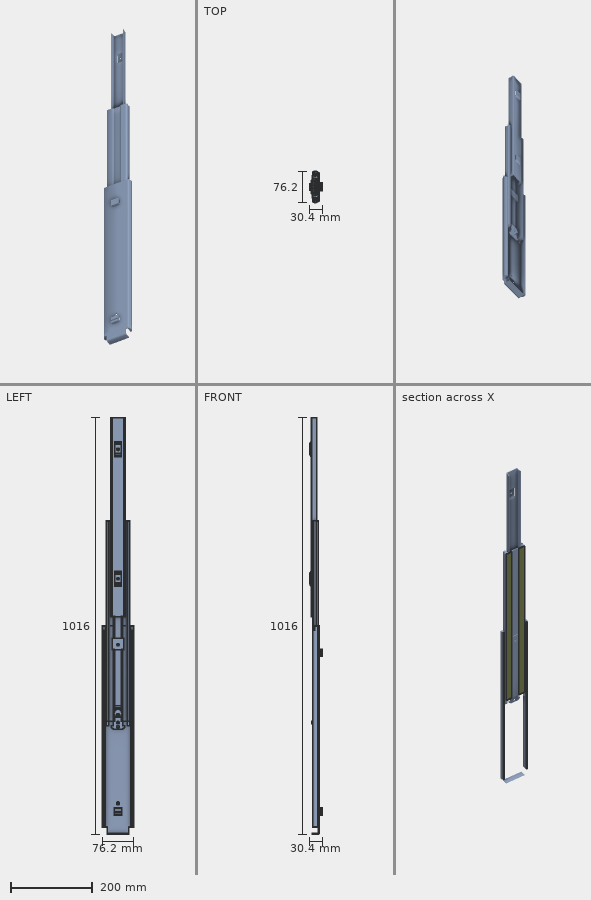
import cadquery as cq
import math


TOTAL_LENGTH = 1016.0
TOTAL_WIDTH = 76.19
TOTAL_DEPTH = 30.39
HOOK_REACH = TOTAL_DEPTH / 2

OUTER_TOP = TOTAL_LENGTH / 2
OUTER_BOTTOM = 17.0
OUTER_WEB_FRONT = 6.0
OUTER_WEB_BACK = 8.4
OUTER_WALL = OUTER_WEB_BACK - OUTER_WEB_FRONT
OUTER_HALF = TOTAL_WIDTH / 2
RACE_X = -1.8
RACE_RADIUS = 8.5
RACE_END_X = 4.6
LIP_X = -8.3
LIP_RELIEF_X = -3.0
LIP_RELIEF_HEIGHT = 10.0
CORNER_Y = 31.5
CORNER_MIDDLE = (7.3, 34.1)
RACE_INNER_Y = 31.5
END_TAB_HALF = 26.7
FOOT_TIP_X = -8.8
FOOT_BEND = 2.5
PILOT_Z = 75.0
PILOT_DIAMETER = 6.0

HOOK_HALF = 9.7
HOOK_HEIGHT = 18.0
HOOK_BASE_X = 12.0
HOOK_POCKET_X = 10.5
HOOK_POCKET_MARGIN = 1.0
HOOK_POCKET_CORNER = 4.0
HOOK_GAP = 3.2
HOOK_GAP_BOTTOM = 6.0
LOWER_HOOK_Z = 46.0
UPPER_HOOK_Z = 433.5

MIDDLE_BOTTOM = 275.4
MIDDLE_TOP = 764.0
MIDDLE_WEB_FRONT = 4.0
MIDDLE_WEB_BACK = 5.8
MIDDLE_HALF = 29.0
MIDDLE_LIP_X = -8.5
MIDDLE_LIP_INNER = 22.0
MIDDLE_LIP_OUTER = 27.4
MIDDLE_LIP_MIDDLE = (-7.0, 28.45)
MIDDLE_CORNER_MIDDLE = (4.6, 27.4)
MIDDLE_CORNER_Y = 24.0
GROOVE_FRONT_X = -5.2
GROOVE_BACK_X = 0.5
GROOVE_DEPTH = 2.0
RIB_HALF = 8.5
RIB_FOOT = 11.5
RIB_RISE = 3.0
RIB_FRONT = MIDDLE_WEB_FRONT - RIB_RISE
RIB_BACK = MIDDLE_WEB_BACK - RIB_RISE

VALLEY_POINTS = [(-3.0, 21.2), (2.5, 18.6), (MIDDLE_WEB_FRONT, 16.0), (MIDDLE_WEB_FRONT, 14.0)]

PAD_HALF = 14.0
PAD_BOTTOM = 450.0
PAD_HEIGHT = 28.5
PAD_FRONT = -1.0
PAD_HOLE_Z = 462.0
PAD_HOLE_DIAMETER = 5.0

STOP_INNER = 23.0
STOP_LENGTH = 11.0
STOP_FRONT = 2.5

INNER_BOTTOM = 531.0
INNER_WEB_FRONT = -12.2
INNER_WALL = 1.8
INNER_WEB_BACK = INNER_WEB_FRONT + INNER_WALL
INNER_FLAT_HALF = 13.6
INNER_NECK_HALF = 16.1
INNER_HALF = 17.5
INNER_CORNER_X = INNER_WEB_FRONT + INNER_NECK_HALF - INNER_FLAT_HALF
INNER_CORNER_MIDDLE = (-11.47, 15.37)
INNER_NECK_X = -4.6
INNER_EDGE_X = 2.0

STRAP_HALF = 8.0
STRAP_HEIGHT = 36.0
STRAP_TOP_RAMP = 4.5
STRAP_BOTTOM_RAMP = 6.5
STRAP_HOLE_DROP = 18.0
STRAP_HOLE_DIAMETER = 5.0
STRAP_TOPS = (957.0, 641.0)

LATCH_TOP = 313.0
LATCH_RAMP = 5.0
LATCH_FRONT = -1.5
LATCH_DISC_Z = 295.0
LATCH_DISC_RADIUS = 10.0
LATCH_DISC_FRONT = -3.0
LATCH_HOLE_ZS = (291.0, 262.0)
LATCH_HOLE_RADIUS = 3.0
LATCH_NECK_HALF = 11.0
LATCH_FOOT_HALF = 16.0
LATCH_FOOT_TOP = 264.0
LATCH_BOTTOM = 256.0
LATCH_FOOT_CHAMFER = 5.0
LATCH_PIN_Z = 272.0
LATCH_PIN_RADIUS = 3.0
LATCH_PIN_TIP = -10.5


def block(x_range, y_range, z_range):
    """A box given by its limits along X, Y and Z."""
    size = [high - low for low, high in (x_range, y_range, z_range)]
    corner = cq.Vector(x_range[0], y_range[0], z_range[0])
    return cq.Workplane(cq.Solid.makeBox(*size, pnt=corner))


def round_bar(x_start, x_end, z, radius):
    """A cylinder along X on the symmetry plane."""
    solid = cq.Solid.makeCylinder(radius, x_end - x_start, cq.Vector(x_start, 0, z), cq.Vector(1, 0, 0))
    return cq.Workplane(solid)


def whole_rail(half_profile, bottom, top):
    """Extrudes a closed half profile and completes it about the XZ plane."""
    half = half_profile.extrude(top - bottom).translate((0, 0, bottom))
    return half.union(half.mirror("XZ")).clean()


def race_point(x):
    """Point of the outer rail's bulged race at the given X."""
    centre_y = OUTER_HALF - RACE_RADIUS
    return (x, centre_y + math.sqrt(RACE_RADIUS**2 - (x - RACE_X) ** 2))


def outer_profile():
    """Half section: flat web, rounded corner and a solid bulged race with a flat inner face."""
    return (
        cq.Workplane("XY")
        .moveTo(OUTER_WEB_FRONT, 0)
        .lineTo(OUTER_WEB_BACK, 0)
        .lineTo(OUTER_WEB_BACK, CORNER_Y)
        .threePointArc(CORNER_MIDDLE, race_point(RACE_END_X))
        .threePointArc((RACE_X, OUTER_HALF), race_point(LIP_X))
        .lineTo(LIP_X, RACE_INNER_Y)
        .lineTo(OUTER_WEB_FRONT, RACE_INNER_Y)
        .close()
    )


def end_foot():
    """Narrow web extension whose lower end is bent towards -X."""
    bend_outer = FOOT_BEND + OUTER_WALL
    bend_x = OUTER_WEB_BACK - bend_outer
    diagonal = math.sqrt(0.5)
    side = (
        cq.Workplane("XZ")
        .moveTo(OUTER_WEB_BACK, OUTER_BOTTOM)
        .lineTo(OUTER_WEB_BACK, bend_outer)
        .threePointArc((bend_x + bend_outer * diagonal, bend_outer * (1 - diagonal)), (bend_x, 0))
        .lineTo(FOOT_TIP_X, 0)
        .lineTo(FOOT_TIP_X, OUTER_WALL)
        .lineTo(bend_x, OUTER_WALL)
        .threePointArc(
            (bend_x + FOOT_BEND * diagonal, bend_outer - FOOT_BEND * diagonal), (OUTER_WEB_FRONT, bend_outer)
        )
        .lineTo(OUTER_WEB_FRONT, OUTER_BOTTOM)
        .close()
    )
    return side.extrude(END_TAB_HALF, both=True)


def add_back_hook(rail, z, split):
    """Pressed-out hook: a bridge behind the web with a catch on it, whole or split in two."""
    z_range = (z, z + HOOK_HEIGHT)
    y_range = (-HOOK_HALF, HOOK_HALF)
    hook = block((OUTER_WEB_BACK, HOOK_REACH), y_range, z_range)
    if split:
        gap_z = z + HOOK_GAP_BOTTOM
        hook = hook.cut(block((HOOK_BASE_X, HOOK_REACH), y_range, (gap_z, gap_z + HOOK_GAP)))
    pocket = block(
        (OUTER_WEB_FRONT, HOOK_POCKET_X),
        y_range,
        (z + HOOK_POCKET_MARGIN, z + HOOK_HEIGHT - HOOK_POCKET_MARGIN),
    )
    pocket = pocket.edges("|X and <Z").fillet(HOOK_POCKET_CORNER)
    return rail.union(hook).cut(pocket)


def make_outer_rail():
    rail = whole_rail(outer_profile(), OUTER_BOTTOM, OUTER_TOP)
    relief = block(
        (LIP_X, LIP_RELIEF_X), (-OUTER_HALF, OUTER_HALF), (OUTER_TOP - LIP_RELIEF_HEIGHT, OUTER_TOP)
    )
    rail = rail.cut(relief).union(end_foot())
    rail = add_back_hook(rail, LOWER_HOOK_Z, split=True)
    rail = add_back_hook(rail, UPPER_HOOK_Z, split=False)
    return rail.cut(round_bar(OUTER_WEB_FRONT, OUTER_WEB_BACK, PILOT_Z, PILOT_DIAMETER / 2))


def middle_profile():
    """Half section: raised rib, web, and a flange with a ball groove in its outer side."""
    groove_bottom = ((GROOVE_FRONT_X + GROOVE_BACK_X) / 2, MIDDLE_HALF - GROOVE_DEPTH)
    return (
        cq.Workplane("XY")
        .moveTo(RIB_BACK, 0)
        .lineTo(RIB_BACK, RIB_HALF)
        .lineTo(MIDDLE_WEB_BACK, RIB_FOOT)
        .lineTo(MIDDLE_WEB_BACK, MIDDLE_CORNER_Y)
        .threePointArc(MIDDLE_CORNER_MIDDLE, (GROOVE_BACK_X, MIDDLE_HALF))
        .threePointArc(groove_bottom, (GROOVE_FRONT_X, MIDDLE_HALF))
        .threePointArc(MIDDLE_LIP_MIDDLE, (MIDDLE_LIP_X, MIDDLE_LIP_OUTER))
        .lineTo(MIDDLE_LIP_X, MIDDLE_LIP_INNER)
        .spline(VALLEY_POINTS + [(RIB_FRONT, RIB_HALF)], includeCurrent=True)
        .lineTo(RIB_FRONT, 0)
        .close()
    )


def make_middle_rail():
    rail = whole_rail(middle_profile(), MIDDLE_BOTTOM, MIDDLE_TOP)
    pad = block((PAD_FRONT, MIDDLE_WEB_FRONT), (-PAD_HALF, PAD_HALF), (PAD_BOTTOM, PAD_BOTTOM + PAD_HEIGHT))
    rail = rail.union(pad)
    rail = rail.cut(round_bar(PAD_FRONT, MIDDLE_WEB_BACK, PAD_HOLE_Z, PAD_HOLE_DIAMETER / 2))
    for y_range in ((-MIDDLE_HALF, -STOP_INNER), (STOP_INNER, MIDDLE_HALF)):
        z_range = (MIDDLE_BOTTOM - STOP_LENGTH, MIDDLE_BOTTOM)
        rail = rail.union(block((STOP_FRONT, MIDDLE_WEB_FRONT), y_range, z_range))
    return rail


def inner_profile():
    """Half section: flat web and a flange that flares out past a neck for the balls."""
    return (
        cq.Workplane("XY")
        .moveTo(INNER_WEB_BACK, 0)
        .lineTo(INNER_WEB_FRONT, 0)
        .lineTo(INNER_WEB_FRONT, INNER_FLAT_HALF)
        .threePointArc(INNER_CORNER_MIDDLE, (INNER_CORNER_X, INNER_NECK_HALF))
        .lineTo(INNER_NECK_X, INNER_NECK_HALF)
        .lineTo(INNER_EDGE_X, INNER_HALF)
        .lineTo(INNER_EDGE_X, INNER_HALF - INNER_WALL)
        .lineTo(INNER_NECK_X, INNER_NECK_HALF - INNER_WALL)
        .lineTo(INNER_WEB_BACK, INNER_NECK_HALF - INNER_WALL)
        .close()
    )


def strap_side(front, back, top, bottom):
    """Trapezoid of a lanced strap: ramps at both ends and a flat front."""
    outline = [
        (back, top),
        (front, top - STRAP_TOP_RAMP),
        (front, bottom + STRAP_BOTTOM_RAMP),
        (back, bottom),
    ]
    return cq.Workplane("XZ").polyline(outline).close().extrude(STRAP_HALF, both=True)


def add_strap(rail, top):
    """Strap pressed out of the web, leaving a window behind it, with a hole in its middle."""
    bottom = top - STRAP_HEIGHT
    raised = strap_side(-HOOK_REACH, INNER_WEB_FRONT, top, bottom)
    window = strap_side(-HOOK_REACH + INNER_WALL, INNER_WEB_BACK, top - INNER_WALL, bottom + INNER_WALL)
    hole = round_bar(-HOOK_REACH, INNER_WEB_BACK, top - STRAP_HOLE_DROP, STRAP_HOLE_DIAMETER / 2)
    return rail.union(raised).cut(window).cut(hole)


def make_inner_rail():
    rail = whole_rail(inner_profile(), INNER_BOTTOM, TOTAL_LENGTH)
    for top in STRAP_TOPS:
        rail = add_strap(rail, top)
    return rail


def make_latch():
    """Latch on the rib of the middle rail, with its foot hanging below the rail's end."""
    shank = (
        cq.Workplane("XZ")
        .polyline(
            [
                (RIB_FRONT, LATCH_TOP),
                (LATCH_FRONT, LATCH_TOP - LATCH_RAMP),
                (LATCH_FRONT, LATCH_FOOT_TOP),
                (RIB_FRONT, LATCH_FOOT_TOP),
            ]
        )
        .close()
        .extrude(RIB_HALF, both=True)
    )
    disc = round_bar(LATCH_DISC_FRONT, RIB_FRONT, LATCH_DISC_Z, LATCH_DISC_RADIUS)
    neck = block(
        (LATCH_FRONT, RIB_FRONT), (-LATCH_NECK_HALF, LATCH_NECK_HALF), (LATCH_FOOT_TOP, MIDDLE_BOTTOM)
    )
    foot = block(
        (LATCH_FRONT, RIB_FRONT), (-LATCH_FOOT_HALF, LATCH_FOOT_HALF), (LATCH_BOTTOM, LATCH_FOOT_TOP)
    )
    foot = foot.edges("|X and <Z").chamfer(LATCH_FOOT_CHAMFER)
    pin = round_bar(LATCH_PIN_TIP, RIB_FRONT, LATCH_PIN_Z, LATCH_PIN_RADIUS)
    latch_body = shank.union(disc).union(neck).union(foot).union(pin)
    for z in LATCH_HOLE_ZS:
        latch_body = latch_body.cut(round_bar(LATCH_DISC_FRONT, RIB_FRONT, z, LATCH_HOLE_RADIUS))
    return latch_body


outer_rail = make_outer_rail()
middle_rail = make_middle_rail()
inner_rail = make_inner_rail()
latch = make_latch()

result = cq.Compound.makeCompound(
    [outer_rail.val(), middle_rail.val(), inner_rail.val(), latch.val()]
)